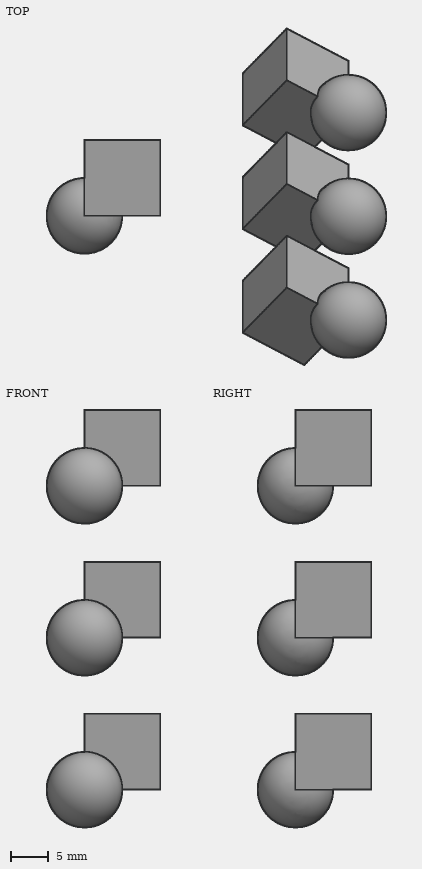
import cadquery as cq

TOTAL_HEIGHT = 55.0
COPIES = 3

PITCH_IN_SIDES = 2
STACK_IN_SIDES = (COPIES - 1) * PITCH_IN_SIDES + 1 + 0.5
CUBE_SIDE = TOTAL_HEIGHT / STACK_IN_SIDES
BALL_RADIUS = CUBE_SIDE / 2
PITCH = PITCH_IN_SIDES * CUBE_SIDE


def make_ball(corner_z):
    """Whole ball centred on the cube corner."""
    return cq.Workplane("XY").sphere(BALL_RADIUS).translate((0, 0, corner_z))


def make_cube(corner_z):
    """Cube with a spherical recess in one corner that seats the ball."""
    block = cq.Workplane("XY").box(CUBE_SIDE, CUBE_SIDE, CUBE_SIDE, centered=False)
    return block.translate((0, 0, corner_z)).cut(make_ball(corner_z))


corner_heights = [index * PITCH for index in range(COPIES)]
cubes = [make_cube(corner_z).val() for corner_z in corner_heights]
balls = [make_ball(corner_z).val() for corner_z in corner_heights]

result = cq.Compound.makeCompound([*cubes, *balls])